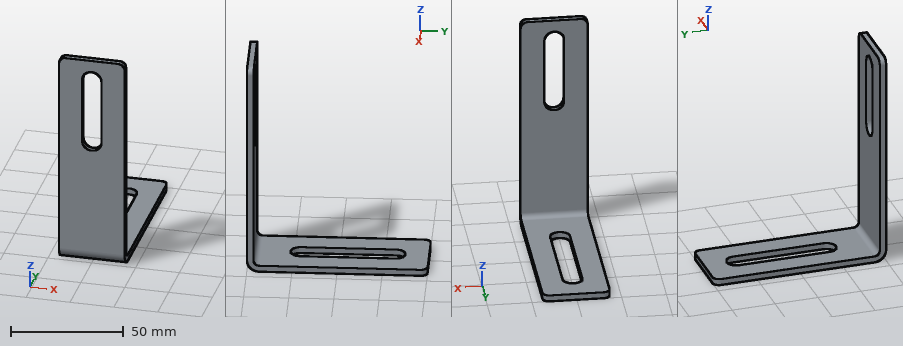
import cadquery as cq

width = 30.0
depth = 80.0
height = 100.0
thickness = 3.0
inner_bend_radius = 2.5
outer_bend_radius = inner_bend_radius + thickness
corner_radius = 3.0

slot_width = 8.8
wall_slot_travel = 30.0
wall_slot_margin = 10.0
base_slot_travel = 42.0
base_slot_margin = 15.0


def bent_sheet():
    """L-shaped sheet: wall on the -Y side, base along +Y at the bottom."""
    outline = (
        cq.Workplane("YZ")
        .polyline([
            (0, 0),
            (depth, 0),
            (depth, thickness),
            (thickness, thickness),
            (thickness, height),
            (0, height),
        ])
        .close()
    )
    sheet = outline.extrude(width / 2, both=True)
    sheet = sheet.edges(cq.NearestToPointSelector((0, 0, 0))).fillet(outer_bend_radius)
    inner_corner = (0, thickness, thickness)
    return sheet.edges(cq.NearestToPointSelector(inner_corner)).fillet(inner_bend_radius)


def slot_cutter(plane, centre, travel):
    """Obround cutter along the plane's second axis, passing through one sheet."""
    return (
        cq.Workplane(plane)
        .center(0, centre)
        .slot2D(travel + slot_width, slot_width, 90)
        .extrude(thickness, both=True)
    )


wall_slot_centre = height - wall_slot_margin - wall_slot_travel / 2
base_slot_centre = depth - base_slot_margin - base_slot_travel / 2

result = bent_sheet()

result = result.faces(">Z").edges("|Y").fillet(corner_radius)
result = result.faces(">Y").edges("|Z").fillet(corner_radius)

result = result.cut(slot_cutter("XZ", wall_slot_centre, wall_slot_travel))
result = result.cut(slot_cutter("XY", base_slot_centre, base_slot_travel))